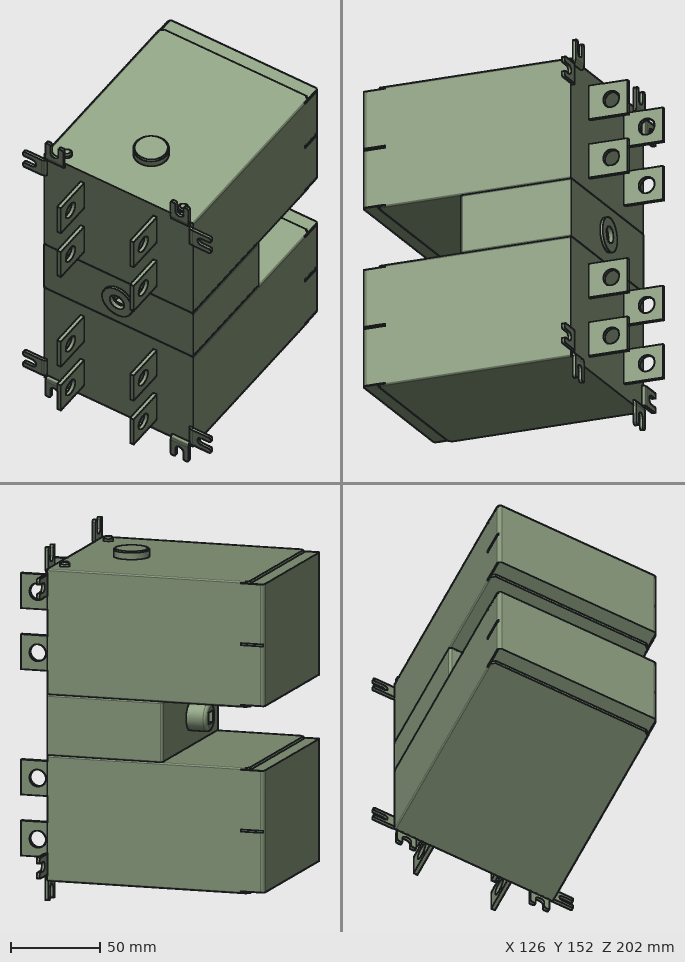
import cadquery as cq

overall_width = 126.0
overall_height = 202.0
overall_depth = 152.0
body_width = 100.2
terminal_reach = 23.6
pole_pitch = 35.0
gap_height = 34.7
box_height = 72.0

box_recess = 0.2
body_depth = overall_depth - terminal_reach
box_center_z = (gap_height + box_height) / 2
body_top_z = gap_height / 2 + box_height
long_edge_radius = 0.8

rear_edge_radius = 2.2
cover_step_depth = 8.3
cover_step_height = 1.0
cover_step_taper = 40
cover_corner_x = 2.6
cover_corner_y = 2.0
groove_length = 13.7
middle_groove_width = 1.2
edge_groove_width = 0.5
groove_depth = 0.6

housing_depth = 68.3
housing_edge_radius = 1.5
shaft_radius = 8.0
shaft_length = 12.0
shaft_rim_radius = 2.0
collar_radius = 10.0
collar_thickness = 1.6
drive_square = 6.7
drive_recess_radius = 4.8
drive_recess_depth = 3.0

terminal_thickness = 2.5
terminal_height = 20.0
terminal_x = 24.5
terminal_hole_radius = 4.8
terminal_hole_y = -13.7
terminal_root = 2.0

lug_width = 12.0
lug_thickness = 1.8
lug_slot_width = 5.3
lug_slot_depth = 8.9
lug_corner = 1.2
lug_slope_length = 2.8
lug_slope_rise = 0.5
lug_bend_radius = 1.5
lug_leg_length = 1.6
top_lug_overlap = 2.8
side_lug_overlap = 2.2
top_lug_x = 42.0
side_lug_z = 79.8

button_radius = 10.0
button_height = 4.6
button_y = 33.3
button_chamfer = 0.8
screw_radius = 2.8
screw_height = 2.5
screw_x = 39.0
screw_y = 6.7
screw_chamfer = 1.0


def block(x_range, y_range, z_range):
    """Axis-aligned block between the given limits."""
    (x0, x1), (y0, y1), (z0, z1) = x_range, y_range, z_range
    return cq.Workplane("XY").box(x1 - x0, y1 - y0, z1 - z0, centered=False).translate((x0, y0, z0))


def rear_cylinder(radius, y_start, length):
    """Cylinder on the drive axis, running toward +Y."""
    return cq.Workplane("XZ", origin=(0, y_start, 0)).circle(radius).extrude(-length)


def cover_step():
    """Material removed above the rear cover, behind a plate with clipped corners."""
    half = body_width / 2
    step_y = body_depth - cover_step_depth
    outline = [
        (-half, body_depth),
        (-half, step_y - cover_corner_y),
        (-half + cover_corner_x, step_y),
        (half - cover_corner_x, step_y),
        (half, step_y - cover_corner_y),
        (half, body_depth),
    ]
    return cq.Workplane("XY").polyline(outline).close().extrude(cover_step_height, taper=-cover_step_taper)


def switch_box():
    """Two-pole box centred on Z = 0 with its stepped and grooved rear cover."""
    half_width = body_width / 2
    half_height = box_height / 2
    box = block((-half_width, half_width), (box_recess, body_depth), (-half_height, half_height))
    box = box.edges("|Z and >Y").fillet(rear_edge_radius)
    box = box.edges("|Y").fillet(long_edge_radius)

    step = cover_step().translate((0, 0, half_height - cover_step_height))
    box = box.cut(step).cut(step.mirror("XY"))

    groove_y = (body_depth - groove_length, body_depth)
    edge_z = half_height - long_edge_radius
    groove_levels = [
        (-middle_groove_width / 2, middle_groove_width / 2),
        (edge_z - edge_groove_width, edge_z),
        (-edge_z, edge_groove_width - edge_z),
    ]
    for z_range in groove_levels:
        groove = block((half_width - groove_depth, half_width), groove_y, z_range)
        box = box.cut(groove).cut(groove.mirror("YZ"))
    return box


def drive_housing():
    """Block between the boxes carrying the shaft and the front collar."""
    housing = cq.Workplane("XY").box(body_width, housing_depth, gap_height, centered=(True, False, True))
    housing = housing.edges("|Z and >Y").fillet(housing_edge_radius)
    housing = housing.edges("|Y").fillet(long_edge_radius)
    shaft = rear_cylinder(shaft_radius, housing_depth, shaft_length)
    shaft = shaft.faces(">Y").edges().fillet(shaft_rim_radius)
    collar = rear_cylinder(collar_radius, -collar_thickness, collar_thickness)
    return housing.union(shaft).union(collar)


def drive_socket():
    """Square hole right through the drive, with a round recess at its front."""
    length = collar_thickness + housing_depth + shaft_length
    square = cq.Workplane("XZ", origin=(0, -collar_thickness, 0)).rect(drive_square, drive_square)
    square = square.extrude(-length)
    return square.union(rear_cylinder(drive_recess_radius, -collar_thickness, drive_recess_depth))


def terminal(x, z):
    """Flat terminal blade with one bolt hole."""
    blade = block(
        (x - terminal_thickness / 2, x + terminal_thickness / 2),
        (-terminal_reach, terminal_root),
        (z - terminal_height / 2, z + terminal_height / 2),
    )
    hole = cq.Workplane("YZ", origin=(x, 0, 0)).center(terminal_hole_y, z).circle(terminal_hole_radius)
    return blade.cut(hole.extrude(terminal_thickness, both=True))


def lug(length, overlap):
    """Forked lug pointing up from a box edge at Z = 0, folded back at its inner end."""
    fold_inside_z = lug_thickness - overlap
    profile = [
        (0, length),
        (-lug_thickness, length),
        (-lug_thickness, lug_slope_length - overlap),
        (lug_slope_rise - lug_thickness, -overlap),
        (lug_leg_length, -overlap),
        (lug_leg_length, fold_inside_z),
        (0, fold_inside_z),
    ]
    bent = cq.Workplane("YZ").polyline(profile).close().extrude(lug_width / 2, both=True)
    bent = bent.edges("|X and <Z").edges("<Y").fillet(lug_bend_radius)

    slot_radius = lug_slot_width / 2
    slot_end_z = length - lug_slot_depth + slot_radius
    slot = block((-slot_radius, slot_radius), (-lug_thickness, 0), (slot_end_z, length))
    slot_end = cq.Workplane("XZ").center(0, slot_end_z).circle(slot_radius).extrude(lug_thickness)
    return bent.cut(slot).cut(slot_end).edges("|Y and >Z").fillet(lug_corner)


def top_stud(x, y, radius, height, chamfer):
    """Round stud with a chamfered rim on the top face."""
    stud = cq.Workplane("XY", origin=(x, y, body_top_z)).circle(radius).extrude(height)
    return stud.faces(">Z").chamfer(chamfer)


result = drive_housing()
for z in (box_center_z, -box_center_z):
    result = result.union(switch_box().translate((0, 0, z)))
result = result.cut(drive_socket())

for x in (-terminal_x, terminal_x):
    for box_z in (-box_center_z, box_center_z):
        for pole_z in (-pole_pitch / 2, pole_pitch / 2):
            result = result.union(terminal(x, box_z + pole_z))

top_lug = lug(overall_height / 2 - body_top_z, top_lug_overlap).translate((top_lug_x, 0, body_top_z))
side_lug = lug((overall_width - body_width) / 2, side_lug_overlap).rotate((0, 0, 0), (0, 1, 0), 90)
side_lug = side_lug.translate((body_width / 2, 0, side_lug_z))
for corner_lug in (top_lug, side_lug):
    right_pair = corner_lug.union(corner_lug.mirror("XY"))
    result = result.union(right_pair).union(right_pair.mirror("YZ"))

result = result.union(top_stud(0, button_y, button_radius, button_height, button_chamfer))
for x in (-screw_x, screw_x):
    result = result.union(top_stud(x, screw_y, screw_radius, screw_height, screw_chamfer))